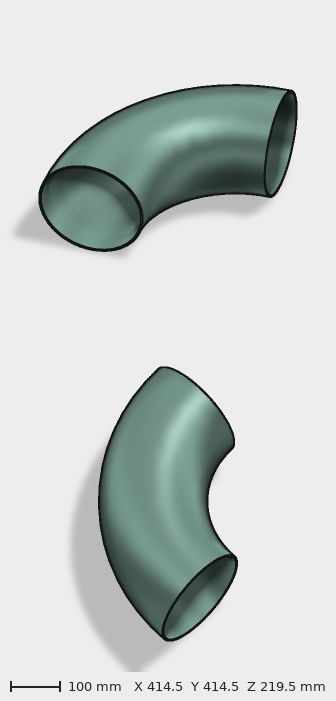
import cadquery as cq

overall_length = 414.5
outer_diameter = 219.5
wall_thickness = 4.0
bend_angle = 90.0

outer_radius = outer_diameter / 2
inner_radius = outer_radius - wall_thickness
bend_radius = overall_length - outer_radius


def pipe_elbow():
    """Sweep the ring section around the Z axis, from the +Y side to the -X side."""
    ring = (
        cq.Workplane("YZ")
        .center(bend_radius, 0)
        .circle(outer_radius)
        .circle(inner_radius)
    )
    return ring.revolve(bend_angle, (-bend_radius, 0), (-bend_radius, 1))


result = pipe_elbow()